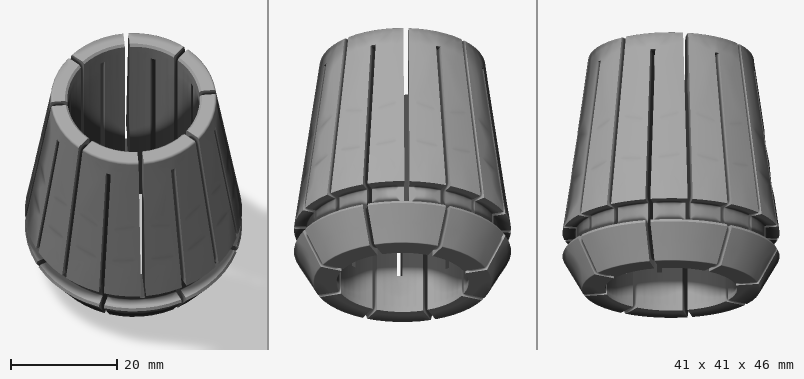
import cadquery as cq
import math

height = 46.0
max_radius = 41.0 / 2
bore_radius = 25.0 / 2

taper_half_angle = 8.0
taper_bottom_z = 11.15
top_edge_fillet = 0.45
bore_mouth_chamfer = 0.4

nose_bottom_radius = 16.8
nose_rim_z = 6.55
nose_top_z = 7.1
nose_top_radius = 20.2
nose_edge_fillet = 0.2
groove_radius = 18.12
groove_fillet = 0.15

slots_per_end = 8
slot_width = 0.95
lower_slot_top_z = 42.5
upper_slot_bottom_z = 7.55
slot_pitch = 360.0 / slots_per_end
cut_overrun = 0.45


def taper_radius(z):
    """Radius of the long taper at height z."""
    return max_radius - (z - taper_bottom_z) * math.tan(math.radians(taper_half_angle))


def make_body():
    """Revolve the wall section, given as (radius, height) points, around Z."""
    wall = [
        (bore_radius, 0),
        (nose_bottom_radius, 0),
        (max_radius, nose_rim_z),
        (nose_top_radius, nose_top_z),
        (groove_radius, nose_top_z),
        (groove_radius, taper_bottom_z),
        (max_radius, taper_bottom_z),
        (taper_radius(height), height),
        (bore_radius + bore_mouth_chamfer, height),
        (bore_radius, height - bore_mouth_chamfer),
    ]
    return cq.Workplane("XZ").polyline(wall).close().revolve(360, (0, 0), (0, 1))


def fillet_circle(body, radius, z, fillet):
    """Round the circular edge of the given radius at height z."""
    reach = 0.05
    up_to_radius = cq.selectors.BoxSelector(
        (-radius - reach, -radius - reach, z - reach),
        (radius + reach, radius + reach, z + reach),
        boundingbox=True,
    )
    smaller = cq.selectors.BoxSelector(
        (-radius + reach, -radius + reach, z - reach),
        (radius - reach, radius - reach, z + reach),
        boundingbox=True,
    )
    return body.edges(up_to_radius - smaller).fillet(fillet)


def cut_slots(body, bottom_z, top_z, first_angle):
    """Cut a ring of radial slots through the wall between two heights."""
    slot = cq.Workplane("XY").box(
        max_radius + cut_overrun, slot_width, top_z - bottom_z, centered=(False, True, False)
    )
    slot = slot.translate((0, 0, bottom_z))
    for i in range(slots_per_end):
        angle = first_angle + i * slot_pitch
        body = body.cut(slot.rotate((0, 0, 0), (0, 0, 1), angle))
    return body


result = make_body()
result = fillet_circle(result, nose_bottom_radius, 0, nose_edge_fillet)
result = fillet_circle(result, groove_radius, nose_top_z, groove_fillet)
result = fillet_circle(result, groove_radius, taper_bottom_z, groove_fillet)
result = fillet_circle(result, taper_radius(height), height, top_edge_fillet)
result = cut_slots(result, 0, lower_slot_top_z, 0)
result = cut_slots(result, upper_slot_bottom_z, height, slot_pitch / 2)